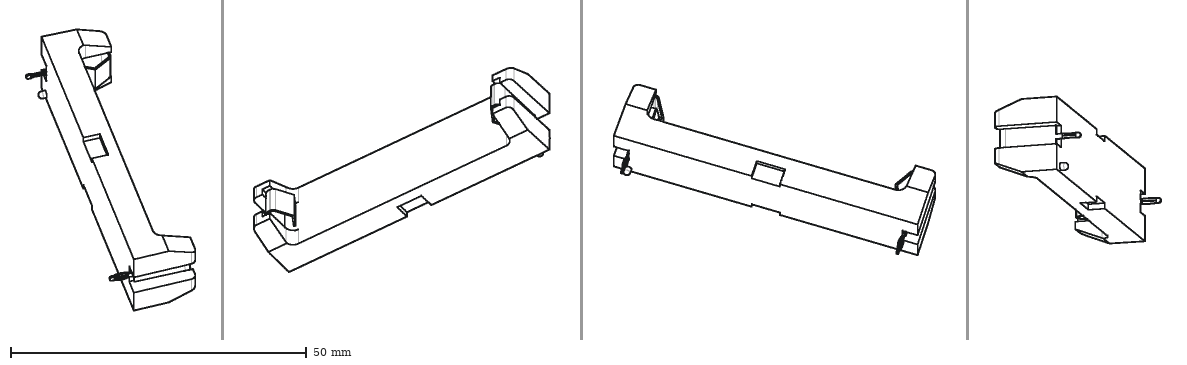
import cadquery as cq
import math

length = 54.05
height = 12.7
fork_reach = 11.2
bed_level = 5.05
end_wall = 3.95
end_draft = 1.0
bed_fillet = 1.5
tip_fillet = 1.0
taper_start = 6.2
tip_height = 8.75
half_length = length / 2
half_height = height / 2
draft_inset = fork_reach * math.tan(math.radians(end_draft))

notch_width = 5.05
notch_reach = 2.9
notch_depth = 1.0

pip_radius = 0.65
pip_neck = 0.65
pip_end_offset = 2.55
pip_below_middle = 5.3

slot_depth = 2.7
slot_width = 3.8
pocket_width = 6.15
contact_width = 4.75
strip = 0.3
contact_top = 11.05
contact_foot = 0.8
bend_radius = 1.3
shoulder_radius = 0.85
spring_slope = 60.0
apex_depth = 6.45
spring_tip_level = 5.4

lead_width = 0.85
lead_reach = 3.5
bow_start = 0.25
bow_end = 2.7
bow_offset = 0.245

outer_x = half_length - slot_depth + strip
inner_x = half_length - slot_depth
wall_x = half_length - end_wall


def mirror_pair(shape):
    """Join a +X feature with its mirror image at -X."""
    return shape.union(shape.mirror("YZ"))


def side_profile():
    """Channel outline in XY: bed, end walls, drafted ends."""
    channel = (
        cq.Workplane("XY")
        .moveTo(-half_length, 0)
        .lineTo(half_length, 0)
        .lineTo(half_length - draft_inset, fork_reach)
        .lineTo(wall_x, fork_reach)
        .lineTo(wall_x, bed_level)
        .lineTo(-wall_x, bed_level)
        .lineTo(-wall_x, fork_reach)
        .lineTo(-half_length + draft_inset, fork_reach)
        .close()
        .extrude(half_height, both=True)
    )
    bed_region = cq.selectors.BoxSelector(
        (-half_length, 0, -height), (half_length, taper_start, height)
    )
    channel = channel.edges("|Z and (not <Y)").edges(bed_region).fillet(bed_fillet)
    for outer_tip in ("<X", ">X"):
        channel = channel.edges("|Z and >Y").edges(outer_tip).fillet(tip_fillet)
    return channel


def end_profile():
    """Six-sided outline in YZ that narrows the end walls towards their tips."""
    half_tip = tip_height / 2
    return (
        cq.Workplane("YZ")
        .polyline([
            (0, -half_height),
            (taper_start, -half_height),
            (fork_reach, -half_tip),
            (fork_reach, half_tip),
            (taper_start, half_height),
            (0, half_height),
        ])
        .close()
        .extrude(half_length, both=True)
    )


def end_box(end_depth, reach_x, low_y, high_y, width):
    """Box at the +X end, starting end_depth in from the end and reach_x long, centred on Z."""
    corner_x = half_length - end_depth - reach_x
    return cq.Workplane("XY").box(
        reach_x, high_y - low_y, width, centered=(False, False, True)
    ).translate((corner_x, low_y, 0))


def contact_seat():
    """Everything removed from the +X end wall for the contact."""
    lip_depth = slot_depth - strip
    open_slot = end_box(0, slot_depth, 0, fork_reach, slot_width)
    strip_slit = end_box(lip_depth, strip, contact_foot, bed_level, contact_width)
    pocket_length = end_wall + bed_fillet - lip_depth
    pocket = end_box(lip_depth, pocket_length, bed_level, fork_reach, pocket_width)
    return open_slot.union(strip_slit).union(pocket)


def middle_notch():
    """Block cut from the top and the bottom edge of the mounting face."""
    return cq.Workplane("XY").box(
        notch_width, notch_reach, notch_depth, centered=(True, False, False)
    ).translate((0, 0, half_height - notch_depth))


def locating_pip():
    """Domed peg on the mounting face, revolved about Y."""
    pip = (
        cq.Workplane("XY")
        .lineTo(pip_radius, 0)
        .lineTo(pip_radius, -pip_neck)
        .radiusArc((0, -pip_neck - pip_radius), pip_radius)
        .close()
        .revolve(360, (0, 0), (0, 1))
    )
    return pip.translate((pip_end_offset - half_length, 0, -pip_below_middle))


def make_holder():
    holder = side_profile().intersect(end_profile())
    holder = holder.cut(mirror_pair(contact_seat()))
    notch = middle_notch()
    holder = holder.cut(notch.union(notch.mirror("XY")))
    return holder.union(locating_pip())


def contact_strip():
    """Constant-thickness strip: up the slot, level between the prongs, then the V-shaped spring."""
    slope = math.radians(spring_slope)
    along_x = math.cos(slope)
    along_y = math.sin(slope)
    half_strip = strip / 2
    mid_bend = bend_radius - half_strip
    mid_shoulder = shoulder_radius - half_strip
    mid_x = outer_x - half_strip
    mid_top = contact_top - half_strip
    shoulder_x = wall_x - mid_shoulder * along_y
    shoulder_y = mid_top - mid_shoulder * (1 - along_x)
    half_turn = slope / 2
    shoulder_mid = (
        wall_x - mid_shoulder * math.sin(half_turn),
        mid_top - mid_shoulder * (1 - math.cos(half_turn)),
    )
    apex_x = half_length - apex_depth + half_strip / along_y
    apex_y = shoulder_y - (shoulder_x - apex_x) * math.tan(slope)
    tip_x = apex_x + (apex_y - spring_tip_level) / math.tan(slope)
    centre_line = (
        cq.Workplane("XY")
        .moveTo(mid_x, contact_foot)
        .lineTo(mid_x, mid_top - mid_bend)
        .radiusArc((mid_x - mid_bend, mid_top), -mid_bend)
        .lineTo(wall_x, mid_top)
        .threePointArc(shoulder_mid, (shoulder_x, shoulder_y))
        .lineTo(apex_x, apex_y)
        .lineTo(tip_x, spring_tip_level)
    )
    section = cq.Workplane("XZ", origin=(mid_x, contact_foot, 0)).rect(strip, contact_width)
    return section.sweep(centre_line, transition="right")


def lead_blank():
    """Flat lead with a rounded end, in YZ."""
    half_width = lead_width / 2
    return (
        cq.Workplane("YZ", origin=(inner_x, 0, 0))
        .moveTo(contact_foot, -half_width)
        .lineTo(half_width - lead_reach, -half_width)
        .threePointArc((-lead_reach, 0), (half_width - lead_reach, half_width))
        .lineTo(contact_foot, half_width)
        .close()
        .extrude(strip)
    )


def bowed_half(offset):
    """Half of the split lead, above Z = 0, bowed along X by the offset."""
    middle = -(bow_start + bow_end) / 2
    return (
        cq.Workplane("XY")
        .moveTo(inner_x, -bow_start)
        .threePointArc((inner_x + offset, middle), (inner_x, -bow_end))
        .lineTo(outer_x, -bow_end)
        .threePointArc((outer_x + offset, middle), (outer_x, -bow_start))
        .close()
        .extrude(lead_width / 2)
    )


def make_contact():
    """Contact for the +X end."""
    split = cq.Workplane("XY").box(
        strip, bow_end - bow_start, lead_width, centered=(False, False, True)
    ).translate((inner_x, -bow_end, 0))
    inward_half = bowed_half(-bow_offset)
    outward_half = bowed_half(bow_offset).mirror("XY")
    lead = lead_blank().cut(split).union(inward_half).union(outward_half)
    return contact_strip().union(lead)


fixed_contact = make_contact()
holder = make_holder().union(fixed_contact)
loose_contact = fixed_contact.mirror("YZ")

result = cq.Compound.makeCompound([holder.solids().val(), loose_contact.solids().val()])